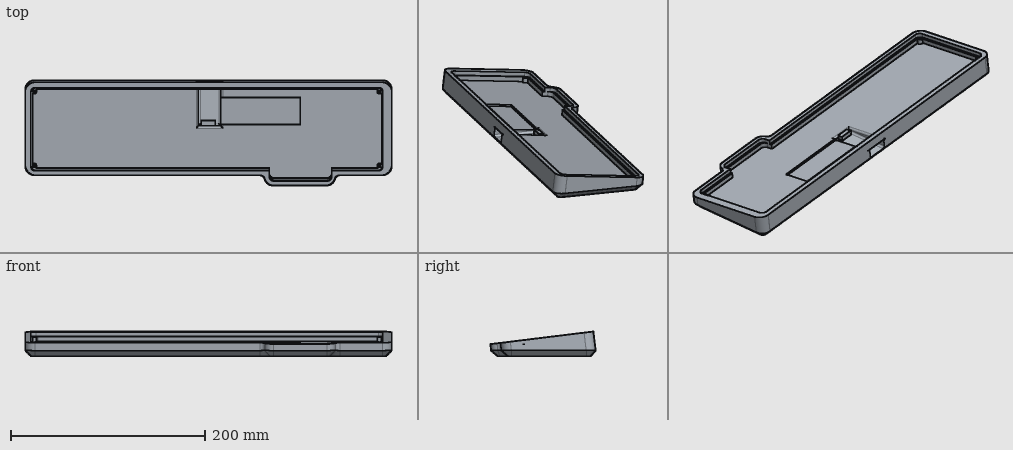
import cadquery as cq
import math

TILT = 7.0
TOP_HEIGHT = 25.63

WIDTH = 377.21
LENGTH = 96.4
CORNER_RADIUS = 10.0
BUMP_DEPTH = 10.62
BUMP_LEFT = 246.0
BUMP_RIGHT = 319.0
BUMP_CORNER_RADIUS = 9.0
BUMP_BLEND_RADIUS = 5.0
BOTTOM_CHAMFER = 6.0

LEFT_WALL = 5.8
RIGHT_WALL = 9.2
BACK_WALL = 5.7
FRONT_WALL = 4.7
LEDGE_DEPTH = 4.4
TRAY_DEPTH = 9.5
LEDGE_LEFT = 2.2
LEDGE_RIGHT = 1.4
LEDGE_BACK = 2.0
LEDGE_FRONT = 2.1
TRAY_CORNER_RADIUS = 5.0
TRAY_BUMP_LEFT = 251.0
TRAY_BUMP_RIGHT = 315.5

POST_DIAMETER = 5.5
POST_HOLE_DIAMETER = 2.0
POST_INSET_X = 3.2
POST_INSET_Y = 4.0

BAY_LEFT = 175.9
BAY_RIGHT = 203.4
BAY_FRONT = 48.5
BAY_FLOOR_HEIGHT = 6.5
BAY_EDGE_RADIUS = 2.2

PAD_LEFT = 181.0
PAD_RIGHT = 195.8
PAD_BACK = 41.0

RECESS_RIGHT = 283.0
RECESS_BACK = 17.0
RECESS_FRONT = 45.0
RECESS_DEPTH = 2.0

SIN_TILT = math.sin(math.radians(TILT))
COS_TILT = math.cos(math.radians(TILT))
SLOPE_NORMAL = cq.Vector(0, -SIN_TILT, COS_TILT)
DOWN_SLOPE = cq.Vector(0, -COS_TILT, -SIN_TILT)
BELOW_PART = 2 * TOP_HEIGHT
BEYOND_PART = 2 * WIDTH


def tilted(depth=0.0):
    """Workplane parallel to the sloping top, the given depth below it."""
    origin = SLOPE_NORMAL * -depth + cq.Vector(0, 0, TOP_HEIGHT)
    return cq.Workplane(cq.Plane(origin=origin, xDir=(1, 0, 0), normal=SLOPE_NORMAL))


def tilted_block(left, right, back, front, top_depth, bottom_depth):
    """Block square to the slope; back and front are distances from the back edge."""
    return (
        tilted(bottom_depth)
        .center((left + right) / 2, -(back + front) / 2)
        .rect(right - left, front - back)
        .extrude(bottom_depth - top_depth)
    )


def round_corners(block, radius):
    """Round the four edges square to the slope."""
    return block.edges(cq.selectors.ParallelDirSelector(SLOPE_NORMAL)).fillet(radius)


def space_above(height):
    """Everything above a level plane."""
    return cq.Workplane("XY", origin=(0, 0, height)).box(
        BEYOND_PART, BEYOND_PART, BEYOND_PART, centered=(True, True, False)
    )


def make_bump():
    """Front bump whose sides are S-curves: a hollow blend arc, then a rounded corner arc."""
    reach = BUMP_BLEND_RADIUS + BUMP_CORNER_RADIUS
    turn = math.acos(1 - BUMP_DEPTH / reach)
    span = reach * math.sin(turn)
    front = -LENGTH
    nose = front - BUMP_DEPTH
    nose_left = BUMP_LEFT + BUMP_CORNER_RADIUS
    nose_right = BUMP_RIGHT - BUMP_CORNER_RADIUS

    def blend_point(root_x, side, angle):
        return (
            root_x + side * BUMP_BLEND_RADIUS * math.sin(angle),
            front - BUMP_BLEND_RADIUS * (1 - math.cos(angle)),
        )

    def corner_point(nose_x, side, angle):
        return (
            nose_x - side * BUMP_CORNER_RADIUS * math.sin(angle),
            nose + BUMP_CORNER_RADIUS * (1 - math.cos(angle)),
        )

    root_left = nose_left - span
    root_right = nose_right + span
    return (
        tilted(BELOW_PART)
        .moveTo(root_left, front)
        .threePointArc(blend_point(root_left, 1, turn / 2), blend_point(root_left, 1, turn))
        .threePointArc(corner_point(nose_left, 1, turn / 2), (nose_left, nose))
        .lineTo(nose_right, nose)
        .threePointArc(corner_point(nose_right, -1, turn / 2), corner_point(nose_right, -1, turn))
        .threePointArc(blend_point(root_right, -1, turn / 2), (root_right, front))
        .lineTo(root_right, front / 2)
        .lineTo(root_left, front / 2)
        .close()
        .extrude(BELOW_PART)
    )


def make_body():
    """Solid case: tilted prism cut off level at the bottom, with a chamfered underside."""
    main = round_corners(tilted_block(0, WIDTH, 0, LENGTH, 0, BELOW_PART), CORNER_RADIUS)
    prism = main.union(make_bump()).clean()
    return prism.intersect(space_above(0)).faces("<Z").chamfer(BOTTOM_CHAMFER)


def tray_pocket(inset_left, inset_right, inset_back, inset_front, depth):
    """Pocket following the outer outline, including the bump."""
    left = LEFT_WALL + inset_left
    right = WIDTH - RIGHT_WALL - inset_right
    back = BACK_WALL + inset_back
    front = LENGTH - FRONT_WALL - inset_front
    main = tilted_block(left, right, back, front, 0, depth)
    bump = tilted_block(TRAY_BUMP_LEFT, TRAY_BUMP_RIGHT, front / 2, front + BUMP_DEPTH, 0, depth)
    return round_corners(main, TRAY_CORNER_RADIUS).union(round_corners(bump, TRAY_CORNER_RADIUS))


def post_rods(diameter):
    """One rod per tray corner, from the tray floor up to the ledge."""
    left = LEFT_WALL + POST_INSET_X
    right = WIDTH - RIGHT_WALL - POST_INSET_X
    back = -(BACK_WALL + POST_INSET_Y)
    front = -(LENGTH - FRONT_WALL - POST_INSET_Y)
    centres = [(x, y) for x in (left, right) for y in (back, front)]
    return tilted(TRAY_DEPTH).pushPoints(centres).circle(diameter / 2).extrude(TRAY_DEPTH - LEDGE_DEPTH)


def bay_edge_rod(x, y, direction, length):
    """Rod that rounds a bay edge, its axis one edge radius below the tray floor."""
    start = tilted(TRAY_DEPTH + BAY_EDGE_RADIUS).plane.toWorldCoords((x, y, 0))
    return cq.Workplane(cq.Solid.makeCylinder(BAY_EDGE_RADIUS, length, start, direction))


def bay_cutter():
    """Bay space: a level-floored well whose upper edges flare out to the tray floor."""
    behind = -BAY_FRONT
    well_front = BAY_FRONT - BAY_EDGE_RADIUS
    well = tilted_block(
        BAY_LEFT + BAY_EDGE_RADIUS,
        BAY_RIGHT - BAY_EDGE_RADIUS,
        behind,
        well_front,
        TRAY_DEPTH,
        BELOW_PART,
    )
    well = well.intersect(space_above(BAY_FLOOR_HEIGHT)).faces("<Z").edges().fillet(BAY_EDGE_RADIUS)

    flare_depth = TRAY_DEPTH + BAY_EDGE_RADIUS
    flare = tilted_block(BAY_LEFT, BAY_RIGHT, behind, BAY_FRONT, TRAY_DEPTH, flare_depth)
    for x in (BAY_LEFT, BAY_RIGHT):
        flare = flare.cut(bay_edge_rod(x, -behind, DOWN_SLOPE, BAY_FRONT - behind))
    flare = flare.cut(bay_edge_rod(BAY_LEFT, -BAY_FRONT, cq.Vector(1, 0, 0), BAY_RIGHT - BAY_LEFT))

    pad = tilted_block(PAD_LEFT, PAD_RIGHT, PAD_BACK, well_front, TRAY_DEPTH, BELOW_PART)
    return well.union(flare).cut(pad)


def recess_cutter():
    """Shallow recess that opens into the right side of the bay."""
    return tilted_block(
        BAY_RIGHT - BAY_EDGE_RADIUS,
        RECESS_RIGHT,
        RECESS_BACK,
        RECESS_FRONT,
        TRAY_DEPTH,
        TRAY_DEPTH + RECESS_DEPTH,
    )


upper_pocket = tray_pocket(0, 0, 0, 0, LEDGE_DEPTH)
lower_pocket = tray_pocket(LEDGE_LEFT, LEDGE_RIGHT, LEDGE_BACK, LEDGE_FRONT, TRAY_DEPTH)

result = make_body().cut(upper_pocket).cut(lower_pocket)
result = result.union(post_rods(POST_DIAMETER)).cut(post_rods(POST_HOLE_DIAMETER))
result = result.cut(recess_cutter()).cut(bay_cutter())